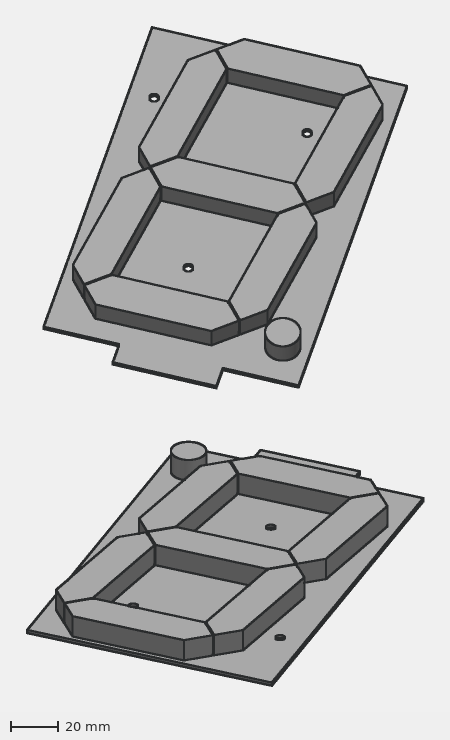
import cadquery as cq
import math

TOTAL_LENGTH = 175.0
BOARD_WIDTH = 112.0
BOARD_THICKNESS = 1.5
TAB_WIDTH = 45.5
TAB_LENGTH = 10.0
BOARD_LENGTH = TOTAL_LENGTH - TAB_LENGTH

HOLE_DIAMETER = 4.0
HOLE_CENTRES = [(-44.8, 46.9), (22.4, 46.9), (-6.0, -35.5)]

TOTAL_HEIGHT = 11.5
LIGHT_HEIGHT = TOTAL_HEIGHT - BOARD_THICKNESS
DIGIT_CENTRE_Y = 3.8
CELL_WIDTH = 68.6
CELL_HEIGHT = 67.7
BAR_WIDTH = 17.0
TIP_CLEARANCE = 0.4
SLANT = math.tan(math.radians(8))

DOT_DIAMETER = 15.0
DOT_CENTRE = (44.0, -64.5)


def make_board():
    """Plate and tab in one piece, pierced by the mounting holes."""
    plate = cq.Workplane("XY").rect(BOARD_WIDTH, BOARD_LENGTH).extrude(BOARD_THICKNESS)
    tab = (
        cq.Workplane("XY")
        .center(0, -(BOARD_LENGTH + TAB_LENGTH) / 2)
        .rect(TAB_WIDTH, TAB_LENGTH)
        .extrude(BOARD_THICKNESS)
    )
    holes = (
        cq.Workplane("XY")
        .pushPoints(HOLE_CENTRES)
        .circle(HOLE_DIAMETER / 2)
        .extrude(BOARD_THICKNESS)
    )
    return plate.union(tab).cut(holes)


def slanted(point):
    """Shift an upright digit point sideways and onto the board."""
    x, y = point
    return (x + y * SLANT, y + DIGIT_CENTRE_Y)


def make_segment(centre_x, centre_y, cell_side, upright):
    """Bar with 45 degree pointed ends, spanning one cell side before slanting."""
    half_width = BAR_WIDTH / 2
    tip = cell_side / 2 - TIP_CLEARANCE
    shoulder = tip - half_width
    outline = [
        (-tip, 0),
        (-shoulder, half_width),
        (shoulder, half_width),
        (tip, 0),
        (shoulder, -half_width),
        (-shoulder, -half_width),
    ]
    if upright:
        outline = [(-across, along) for along, across in outline]
    corners = [slanted((centre_x + x, centre_y + y)) for x, y in outline]
    return (
        cq.Workplane("XY")
        .workplane(offset=BOARD_THICKNESS)
        .polyline(corners)
        .close()
        .extrude(LIGHT_HEIGHT)
    )


def make_segments():
    """Three level bars and four upright bars of the digit."""
    segments = []
    for row in (-1, 0, 1):
        segments.append(make_segment(0, row * CELL_HEIGHT, CELL_WIDTH, upright=False))
    for side in (-1, 1):
        for cell in (-1, 1):
            centre_x = side * CELL_WIDTH / 2
            centre_y = cell * CELL_HEIGHT / 2
            segments.append(make_segment(centre_x, centre_y, CELL_HEIGHT, upright=True))
    return segments


def make_decimal_point():
    """Round light standing on the board beside the digit."""
    return (
        cq.Workplane("XY")
        .workplane(offset=BOARD_THICKNESS)
        .center(*DOT_CENTRE)
        .circle(DOT_DIAMETER / 2)
        .extrude(LIGHT_HEIGHT)
    )


board = make_board()
segments = make_segments()
decimal_point = make_decimal_point()

result = cq.Compound.makeCompound(
    [board.val(), *[segment.val() for segment in segments], decimal_point.val()]
)